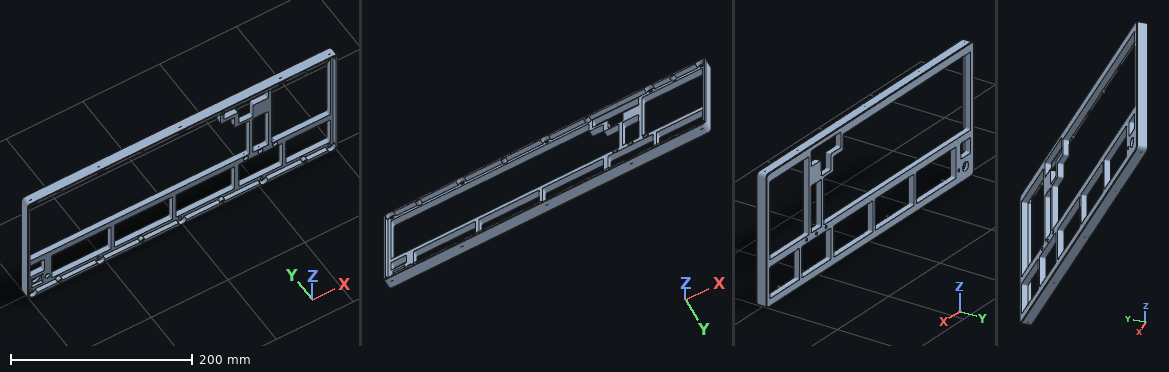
import cadquery as cq
length = 405.0
width = 165.0
thickness = 13.5
corner_radius = 5.3
back_chamfer = 1.0
front_chamfer_depth = 0.5
front_chamfer_width = 1.2
front_y = -thickness / 2

recess_depth = 5.5
side_rim = 3.2
end_rim = 5.3
floor_y = front_y + recess_depth
recess_half_length = length / 2 - side_rim
recess_half_width = width / 2 - end_rim
recess_corner_radius = 1.2

opening_radius = 1.82
opening_end = 195.5
opening_top = 71.3
opening_bottom = -72.5
middle_bar_top = -24.7
middle_bar_bottom = -34.0
thin_bar = 4.5
wide_bar = 5.5

lower_row_start = -167.3
lower_bars = [(-90.0, thin_bar), (-9.7, thin_bar), (71.0, wide_bar), (133.2, thin_bar)]
square_opening_side = 19.0

slot_left = 94.8
slot_right = 115.0
slot_top = 33.2
stem_left = 76.5
stem_right = 95.0
stem_bottom = 37.3
tee_left = 57.0
tee_top = 76.0
tee_shoulder = 57.0
upper_step_x = 52.5
upper_step_z = 51.5
lower_step_x = 71.0

edge_hole_z = 77.5
relief_z = 76.0
relief_radius = 5.3
blind_hole_diameter = 3.95
blind_hole_depth = 3.2
end_relief_x = 194.5
inner_relief_x = 106.0
shifted_relief_x = 130.5
top_relief_xs = [-end_relief_x, -inner_relief_x, 0, shifted_relief_x, end_relief_x]
bottom_relief_xs = [-end_relief_x, -inner_relief_x, 0, inner_relief_x, end_relief_x]

boss_xs = [-159.5, -52.2, 52.2, 159.5]
boss_z = 77.8
boss_diameter = 6.5
boss_hole_diameter = 3.2
boss_hole_depth = 8.0

counterbore_diameter = 6.5
counterbore_depth = 4.0
through_diameter = 3.2
bar_hole_pitch = 19.0
bar_hole_x = 105.0
bar_hole_z = -29.0

pocket_x = -186.0
pocket_z = -65.5
pocket_side = 14.5
pocket_depth = 3.5
pocket_hole_diameter = 11.0
pocket_screw_x = -172.5
pocket_screw_z = -65.2


def front_plane(y):
    """Sketch plane facing the front, at depth y, with local axes along X and Z."""
    return cq.Workplane("XZ", origin=(0, y, 0))


def block(left, right, bottom, top, y, depth):
    """Box between the given edges, from y backwards by depth."""
    centre = ((left + right) / 2, (bottom + top) / 2)
    return front_plane(y).center(*centre).rect(right - left, top - bottom).extrude(-depth)


def opening(left, right, bottom, top):
    """Rounded rectangular opening through the whole thickness."""
    return block(left, right, bottom, top, front_y, thickness).edges("|Y").fillet(opening_radius)


def stepped_opening(points):
    """Rounded opening through the whole thickness with a given outline."""
    prism = front_plane(front_y).polyline(points).close().extrude(-thickness)
    return prism.edges("|Y").fillet(opening_radius)


def cylinder(x, z, diameter, y, depth):
    """Round solid at (x, z), from y backwards by depth."""
    return front_plane(y).center(x, z).circle(diameter / 2).extrude(-depth)


def recess():
    """Front recess with a round relief bulging into the rim at each blind hole."""
    cutter = block(
        -recess_half_length,
        recess_half_length,
        -recess_half_width,
        recess_half_width,
        front_y,
        recess_depth,
    )
    cutter = cutter.edges("|Y").fillet(recess_corner_radius)
    for side, xs in ((1, top_relief_xs), (-1, bottom_relief_xs)):
        for x in xs:
            relief = cylinder(x, side * relief_z, 2 * relief_radius, front_y, recess_depth)
            cutter = cutter.union(relief)
    return cutter


def upper_openings():
    """Stepped main opening, tee, narrow slot and right-hand opening."""
    main = stepped_opening(
        [
            (-opening_end, middle_bar_top),
            (-opening_end, opening_top),
            (upper_step_x, opening_top),
            (upper_step_x, upper_step_z),
            (lower_step_x, upper_step_z),
            (lower_step_x, slot_top),
            (slot_left - thin_bar, slot_top),
            (slot_left - thin_bar, middle_bar_top),
        ]
    )
    tee = stepped_opening(
        [
            (tee_left, tee_top),
            (slot_right, tee_top),
            (slot_right, tee_shoulder),
            (stem_right, tee_shoulder),
            (stem_right, stem_bottom),
            (stem_left, stem_bottom),
            (stem_left, tee_shoulder),
            (tee_left, tee_shoulder),
        ]
    )
    slot = opening(slot_left, slot_right, middle_bar_top, slot_top)
    right = opening(slot_right + thin_bar, opening_end, middle_bar_top, opening_top)
    return [main, tee, slot, right]


def lower_openings():
    """Row of openings below the middle bar, and the small square one at its left end."""
    lefts = [lower_row_start] + [left + bar for left, bar in lower_bars]
    rights = [left for left, bar in lower_bars] + [opening_end]
    cutters = [
        opening(left, right, opening_bottom, middle_bar_bottom)
        for left, right in zip(lefts, rights)
    ]
    square = opening(
        -opening_end,
        -opening_end + square_opening_side,
        middle_bar_bottom - square_opening_side,
        middle_bar_bottom,
    )
    return cutters + [square]


def counterbored_hole(x, z):
    """Through hole with a counterbore in the recess floor."""
    hole = cylinder(x, z, through_diameter, floor_y, thickness)
    return hole.union(cylinder(x, z, counterbore_diameter, floor_y, counterbore_depth))


frame = cq.Workplane("XY").box(length, thickness, width).edges("|Y").fillet(corner_radius)
frame = frame.faces(">Y").chamfer(back_chamfer)
frame = frame.faces("<Y").chamfer(front_chamfer_width, front_chamfer_depth)
frame = frame.cut(recess())

for cutter in upper_openings() + lower_openings():
    frame = frame.cut(cutter)

for side, xs in ((1, top_relief_xs), (-1, bottom_relief_xs)):
    for x in xs:
        frame = frame.cut(
            cylinder(x, side * edge_hole_z, blind_hole_diameter, floor_y, blind_hole_depth)
        )
    for x in boss_xs:
        frame = frame.union(cylinder(x, side * boss_z, boss_diameter, front_y, recess_depth))
        frame = frame.cut(cylinder(x, side * boss_z, boss_hole_diameter, front_y, boss_hole_depth))

for step in (-1, 0, 1):
    frame = frame.cut(counterbored_hole(bar_hole_x + step * bar_hole_pitch, bar_hole_z))
frame = frame.cut(counterbored_hole(pocket_screw_x, pocket_screw_z))

half_pocket = pocket_side / 2
frame = frame.cut(
    block(
        pocket_x - half_pocket,
        pocket_x + half_pocket,
        pocket_z - half_pocket,
        pocket_z + half_pocket,
        floor_y,
        pocket_depth,
    )
)
frame = frame.cut(cylinder(pocket_x, pocket_z, pocket_hole_diameter, floor_y, thickness))

result = frame